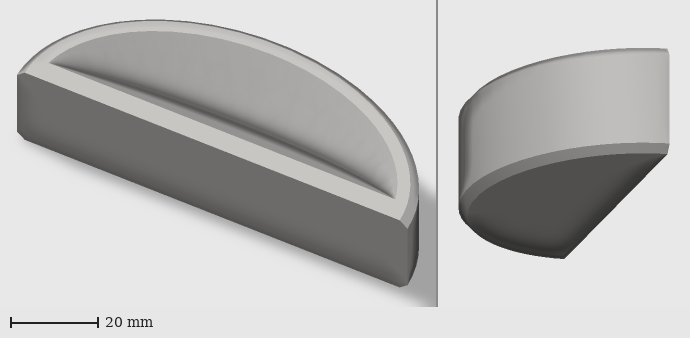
import cadquery as cq

half_length = 50.0
depth = 35.0
height = 25.0
edge_chamfer = 2.0

wall = 5.0
rim_half_length = half_length - wall
rim_depth = depth - wall
wall_slope = 45.0
valley_y = (wall + rim_depth) / 2
pocket_depth = valley_y - wall


def make_block():
    block = (
        cq.Workplane("XY")
        .moveTo(half_length, 0)
        .ellipseArc(half_length, depth, 0, 180, startAtCurrent=True)
        .close()
        .extrude(height)
    )
    return block.edges("%ELLIPSE").chamfer(edge_chamfer)


def make_pocket():
    """Elliptical bowl and sloping front wall, meeting in a curved valley."""
    bowl = (
        cq.Workplane("XY", origin=(0, 0, height))
        .ellipse(rim_half_length, rim_depth)
        .extrude(-pocket_depth, taper=wall_slope)
    )
    behind_front_wall = (
        cq.Workplane("YZ")
        .moveTo(wall, height)
        .lineTo(valley_y, height - pocket_depth)
        .lineTo(depth, height - pocket_depth)
        .lineTo(depth, height)
        .close()
        .extrude(half_length, both=True)
    )
    return bowl.intersect(behind_front_wall)


result = make_block().cut(make_pocket())